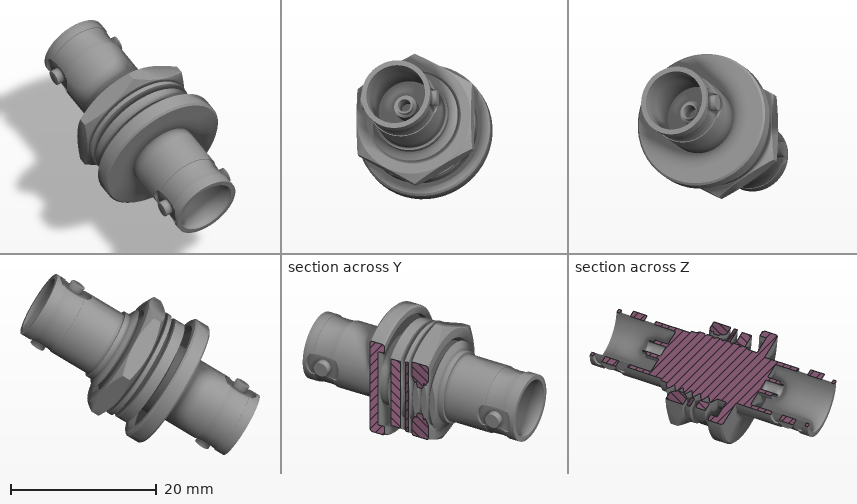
import cadquery as cq
import math

LENGTH = 32.77

BARREL_RADIUS = 4.8
BORE_RADIUS = 4.1
BORE_DEPTH = 8.85

INSULATOR_RADIUS = 1.57
INSULATOR_HEIGHT = 1.95
CONTACT_RADIUS = 1.15
CONTACT_HEIGHT = 2.62
SOCKET_RADIUS = 0.9
SOCKET_DEPTH = 2.62

PIN_X = LENGTH / 2 - 3.05
PIN_RADIUS = 2.13 / 2
PIN_REACH = 5.28
GROOVE_HALF_WIDTH = 1.55
GROOVE_EDGE_RADIUS = 4.7
GROOVE_BOTTOM_RADIUS = 4.55
SPOT_RADIUS = 2.55
SPOT_HEIGHT = 3.25
SPOT_FLAT_Y = 4.25

FLANGE_LEFT = 3.28
FLANGE_WIDTH = 2.33
FLANGE_RADIUS = 18.58 / 2
FLANGE_CHAMFER = 0.25
SEAL_RECESS_RADIUS = 8.13
SEAL_RECESS_DEPTH = 0.98

COLLAR_LEFT = -5.6
THREAD_LEFT = -4.8
THREAD_LENGTH = 7.75
THREAD_TURNS = 6
THREAD_PITCH = THREAD_LENGTH / THREAD_TURNS
THREAD_ROOT_RADIUS = 5.15
THREAD_CREST_RADIUS = 6.25
THREAD_FLAT_Y = 5.47

NUT_LEFT = -3.55
NUT_WIDTH = 2.62
NUT_ACROSS_FLATS = 16.0
NUT_FACE_RADIUS = 7.93
NUT_CHAMFER_ANGLE = 30.0
NUT_BORE_RADIUS = 5.85
NUT_MOUTH_RADIUS = 6.6

LOCK_WASHER_LEFT = -0.45
LOCK_WASHER_WIDTH = 0.55
LOCK_WASHER_RADIUS = 7.95
GASKET_LEFT = 0.82
GASKET_WIDTH = 1.5
GASKET_RADIUS = 7.8


def rod(left, length, radius):
    """Solid cylinder along X that starts at x = left."""
    return cq.Workplane("YZ", origin=(left, 0, 0)).circle(radius).extrude(length)


def revolve_about_x(profile):
    """Full turn of a profile drawn as (x, radius) in the XY plane."""
    return profile.close().revolve(360, (0, 0, 0), (1, 0, 0))


def make_barrel():
    """Barrel with a shallow, stepped, round-bottomed groove near each end."""
    half = LENGTH / 2
    profile = cq.Workplane("XY").moveTo(-half, 0).lineTo(-half, BARREL_RADIUS)
    for x in (-PIN_X, PIN_X):
        left = x - GROOVE_HALF_WIDTH
        right = x + GROOVE_HALF_WIDTH
        profile = profile.lineTo(left, BARREL_RADIUS).lineTo(left, GROOVE_EDGE_RADIUS)
        profile = profile.threePointArc((x, GROOVE_BOTTOM_RADIUS), (right, GROOVE_EDGE_RADIUS))
        profile = profile.lineTo(right, BARREL_RADIUS)
    return revolve_about_x(profile.lineTo(half, BARREL_RADIUS).lineTo(half, 0))


def make_thread():
    """V-shaped ridges between a plain collar and the floor of the flange recess."""
    profile = cq.Workplane("XY").moveTo(COLLAR_LEFT, 0).lineTo(COLLAR_LEFT, THREAD_ROOT_RADIUS)
    profile = profile.lineTo(THREAD_LEFT, THREAD_ROOT_RADIUS)
    for turn in range(THREAD_TURNS):
        ridge_left = THREAD_LEFT + turn * THREAD_PITCH
        profile = profile.lineTo(ridge_left + THREAD_PITCH / 2, THREAD_CREST_RADIUS)
        profile = profile.lineTo(ridge_left + THREAD_PITCH, THREAD_ROOT_RADIUS)
    right = FLANGE_LEFT + SEAL_RECESS_DEPTH
    return revolve_about_x(profile.lineTo(right, THREAD_ROOT_RADIUS).lineTo(right, 0))


def below_thread_flat(shape):
    """Cut away everything beyond the plane of the thread flat."""
    waste = cq.Workplane("XY").box(LENGTH, LENGTH, LENGTH).translate((0, THREAD_FLAT_Y + LENGTH / 2, 0))
    return shape.cut(waste)


def make_spot_and_pin(x, side):
    """Spot-face cutter and bayonet pin at station x, on the -Y (side = -1) or +Y (side = 1) side."""
    spot_plane = cq.Workplane("XZ", origin=(x, side * SPOT_FLAT_Y, 0))
    cutter = spot_plane.circle(SPOT_RADIUS).extrude(-side * (LENGTH / 2))
    band = cq.Workplane("XY").box(LENGTH, LENGTH, SPOT_HEIGHT).translate((x, side * LENGTH / 2, 0))
    pin = spot_plane.circle(PIN_RADIUS).extrude(-side * (PIN_REACH - SPOT_FLAT_Y))
    return cutter.intersect(band), pin


def make_left_cavity():
    """Blind bore at the -X end, leaving the stepped contact on its floor."""
    floor = -LENGTH / 2 + BORE_DEPTH
    cavity = rod(-LENGTH / 2, BORE_DEPTH, BORE_RADIUS)
    cavity = cavity.cut(rod(floor - INSULATOR_HEIGHT, INSULATOR_HEIGHT, INSULATOR_RADIUS))
    cavity = cavity.cut(rod(floor - CONTACT_HEIGHT, CONTACT_HEIGHT, CONTACT_RADIUS))
    return cavity.union(rod(floor - CONTACT_HEIGHT, SOCKET_DEPTH, SOCKET_RADIUS))


def make_flange():
    """Chamfered disc with a round recess in the face toward the nut."""
    disc = rod(FLANGE_LEFT, FLANGE_WIDTH, FLANGE_RADIUS).edges().chamfer(FLANGE_CHAMFER)
    return disc.cut(rod(FLANGE_LEFT, SEAL_RECESS_DEPTH, SEAL_RECESS_RADIUS))


def make_connector():
    """Housing with its flange, thread, bayonet pins and inner contacts as one solid."""
    connector = make_barrel().union(below_thread_flat(make_thread())).union(make_flange())
    for x in (-PIN_X, PIN_X):
        for side in (-1, 1):
            cutter, pin = make_spot_and_pin(x, side)
            connector = connector.cut(cutter).union(pin)
    left_cavity = make_left_cavity()
    return connector.cut(left_cavity).cut(left_cavity.mirror("YZ"))


def make_nut():
    """Hexagonal nut with corners on +Z and -Z and a bore that fits the ridges."""
    right = NUT_LEFT + NUT_WIDTH
    corner_radius = NUT_ACROSS_FLATS / math.sqrt(3)
    corner_setback = (corner_radius - NUT_FACE_RADIUS) * math.tan(math.radians(NUT_CHAMFER_ANGLE))
    mouth_depth = NUT_MOUTH_RADIUS - NUT_BORE_RADIUS
    hexagon = (
        cq.Workplane("YZ", origin=(NUT_LEFT, 0, 0))
        .transformed(rotate=(0, 0, 90))
        .polygon(6, 2 * corner_radius)
        .extrude(NUT_WIDTH)
    )
    envelope = revolve_about_x(
        cq.Workplane("XY")
        .moveTo(NUT_LEFT, NUT_MOUTH_RADIUS)
        .lineTo(NUT_LEFT, NUT_FACE_RADIUS)
        .lineTo(NUT_LEFT + corner_setback, corner_radius)
        .lineTo(right - corner_setback, corner_radius)
        .lineTo(right, NUT_FACE_RADIUS)
        .lineTo(right, NUT_MOUTH_RADIUS)
        .lineTo(right - mouth_depth, NUT_BORE_RADIUS)
        .lineTo(NUT_LEFT + mouth_depth, NUT_BORE_RADIUS)
    )
    return hexagon.intersect(envelope).cut(make_thread())


def make_washer(left, width, radius):
    """Flat ring with a D-shaped hole that fits the flatted thread."""
    hole = below_thread_flat(rod(left, width, THREAD_CREST_RADIUS))
    return rod(left, width, radius).cut(hole)


connector = make_connector()
nut = make_nut()
lock_washer = make_washer(LOCK_WASHER_LEFT, LOCK_WASHER_WIDTH, LOCK_WASHER_RADIUS)
gasket = make_washer(GASKET_LEFT, GASKET_WIDTH, GASKET_RADIUS)

result = cq.Compound.makeCompound(
    [
        *connector.solids().vals(),
        *nut.solids().vals(),
        *lock_washer.solids().vals(),
        *gasket.solids().vals(),
    ]
)